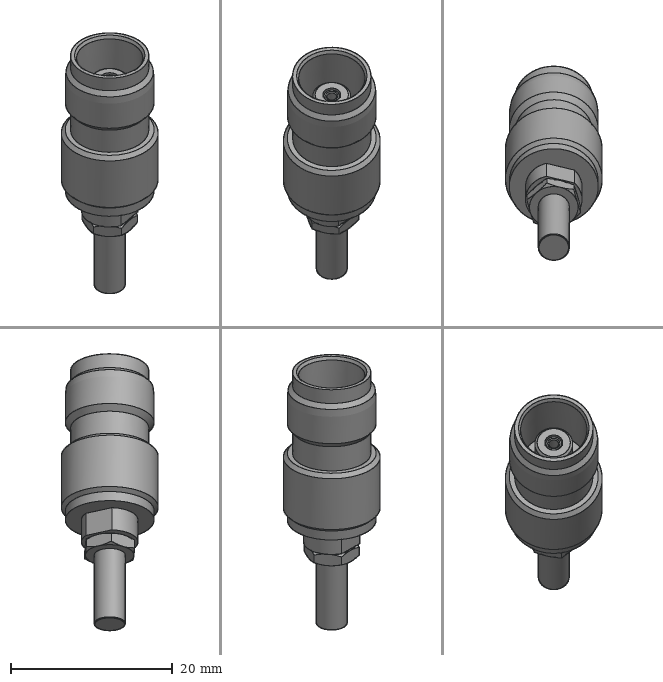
import cadquery as cq
import math

total_height = 34.85
tube_chamfer = 0.1
hex_bottom = 9.5
hex_top = 11.1
neck_top = 11.3
flange_bottom = 14.35
grip_bottom = 15.6
grip_full_bottom = 16.05
grip_full_top = 23.1
grip_top = 23.6
collar_bottom = 26.95
collar_full_bottom = 27.7
collar_full_top = 31.4
collar_shoulder = 32.4
collar_top = 32.95

tube_radius = 1.93
neck_radius = 1.8
wrench_radius = 3.5
flange_radius = 5.5
grip_radius = 6.0
barrel_radius = 4.85
collar_radius = 5.5
collar_shoulder_radius = 5.4

across_flats = 6.0
hex_sides = 6
hex_chamfer_angle = 30.0

mouth_radius = 4.35
mouth_chamfer_depth = 0.4
throat_radius = 4.1
floor_radius = 4.04
socket_depth = 8.3
dielectric_radius = 2.35
dielectric_chamfer = 0.3
dielectric_recess = 3.4
contact_hole_radius = 1.1
contact_radius = 0.95
contact_bore_radius = 0.6
contact_lead_in = 0.15
contact_recess = 3.6
contact_bore_depth = 3.0

socket_floor = total_height - socket_depth
dielectric_top = total_height - dielectric_recess
contact_top = total_height - contact_recess


def revolve_profile(points):
    """Revolve (radius, height) points about the Z axis."""
    return cq.Workplane("XZ").polyline(points).close().revolve(360, (0, 0, 0), (0, 1, 0))


def cylinder(radius, bottom, top):
    return cq.Workplane("XY").workplane(offset=bottom).circle(radius).extrude(top - bottom)


def make_shell():
    """Grip, barrel and collar as one turned body with a closed lower face."""
    return revolve_profile([
        (0, flange_bottom),
        (flange_radius, flange_bottom),
        (flange_radius, grip_bottom),
        (grip_radius, grip_full_bottom),
        (grip_radius, grip_full_top),
        (flange_radius, grip_top),
        (barrel_radius, grip_top),
        (barrel_radius, collar_bottom),
        (collar_radius, collar_full_bottom),
        (collar_radius, collar_full_top),
        (collar_shoulder_radius, collar_shoulder),
        (barrel_radius, collar_top),
        (barrel_radius, total_height),
        (0, total_height),
    ])


def make_socket_cavity():
    """Open mating bore with a chamfered mouth and walls tapering slightly to the floor."""
    return revolve_profile([
        (0, socket_floor),
        (floor_radius, socket_floor),
        (throat_radius, total_height - mouth_chamfer_depth),
        (mouth_radius, total_height),
        (0, total_height),
    ])


def make_dielectric():
    """Insulator post with a chamfered rim, bored around the centre contact."""
    post = cylinder(dielectric_radius, socket_floor, dielectric_top)
    post = post.faces(">Z").edges().chamfer(dielectric_chamfer)
    return post.cut(cylinder(contact_hole_radius, socket_floor, dielectric_top))


def make_contact():
    """Hollow centre contact with a lead-in chamfer, standing on the socket floor."""
    contact = cylinder(contact_radius, socket_floor, contact_top)
    contact = contact.cut(cylinder(contact_bore_radius, contact_top - contact_bore_depth, contact_top))
    bore_rim = contact.faces(">Z").edges(cq.selectors.RadiusNthSelector(0))
    return bore_rim.chamfer(contact_lead_in)


def make_wrench_section():
    """Round section with two opposite flats facing -X and +X."""
    height = flange_bottom - neck_top
    section = cylinder(wrench_radius, neck_top, flange_bottom)
    key = cq.Workplane("XY").workplane(offset=neck_top)
    key = key.rect(across_flats, 2 * wrench_radius).extrude(height)
    return section.intersect(key)


def make_hex_nut():
    """Hexagon with corners on the Y axis, both ends coned down to the flats."""
    flat_radius = across_flats / 2
    corner_radius = flat_radius / math.cos(math.pi / hex_sides)
    cone_drop = (corner_radius - flat_radius) * math.tan(math.radians(hex_chamfer_angle))
    nut = cq.Workplane("XY").workplane(offset=hex_bottom)
    nut = nut.polygon(hex_sides, 2 * corner_radius).extrude(hex_top - hex_bottom)
    nut = nut.rotate((0, 0, 0), (0, 0, 1), 90)
    envelope = revolve_profile([
        (0, hex_bottom),
        (flat_radius, hex_bottom),
        (corner_radius, hex_bottom + cone_drop),
        (corner_radius, hex_top - cone_drop),
        (flat_radius, hex_top),
        (0, hex_top),
    ])
    return nut.intersect(envelope)


def make_tube():
    tube = cylinder(tube_radius, 0, hex_bottom)
    return tube.faces("<Z").edges().chamfer(tube_chamfer)


result = make_shell().cut(make_socket_cavity())
result = result.union(make_dielectric()).union(make_contact())
result = result.union(make_wrench_section())
result = result.union(cylinder(neck_radius, hex_bottom, neck_top))
result = result.union(make_hex_nut()).union(make_tube())